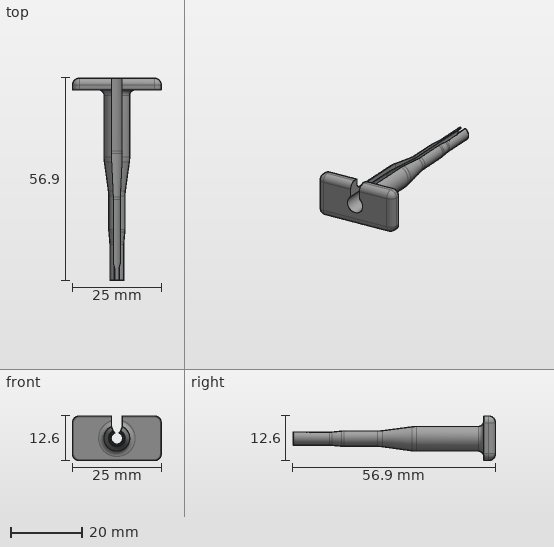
import cadquery as cq
import math

OVERALL_LENGTH = 56.85

PLATE_WIDTH = 25.0
PLATE_HEIGHT = 12.6
PLATE_THICKNESS = 3.35
PLATE_ROUND = 2.0
FRONT_EDGE_ROUND = 0.3

STEM_RADIUS = 7.3 / 2
NECK_RADIUS = 4.6 / 2
TIP_RADIUS = 4.0 / 2
STEM_END = 22.85
NECK_START = 32.45
NECK_END = 42.85
TIP_START = 46.35
LONG_CONE_BLEND = 10.0
SHORT_CONE_BLEND = 7.95
STEM_FILLET = 1.5
TIP_ROUND = 0.15

REAR_BORE_RADIUS = 2.5
FRONT_BORE_RADIUS = 1.6
BORE_CONE_START = 20.8
BORE_CONE_END = 33.75
BORE_BLEND = 10.0

SLOT_WIDTH = 2.9
NECK_SLOT_WIDTH = 2.0
MOUTH_SLOT_WIDTH = 1.15
MOUTH_FLARE_WIDTH = 1.75
SLOT_TAPER_START = 23.55
SLOT_TAPER_END = 33.15
MOUTH_TAPER_START = 52.0
MOUTH_TAPER_END = 53.45


def plate():
    body = cq.Workplane("XZ").rect(PLATE_WIDTH, PLATE_HEIGHT).extrude(PLATE_THICKNESS)
    body = body.edges("|Y").fillet(PLATE_ROUND)
    body = body.faces("<Y").edges().fillet(FRONT_EDGE_ROUND)
    return body.faces(">Y").edges().fillet(PLATE_ROUND)


def step_toward(start, target, distance):
    """Point at a given distance from start on the line to target."""
    share = distance / math.dist(start, target)
    return tuple(s + share * (t - s) for s, t in zip(start, target))


def blended_revolve(corners, blends):
    """Revolve a stepped (radius, distance) outline about Y, rounding each inner corner."""
    profile = cq.Workplane("XY").moveTo(0, -corners[0][1])
    profile = profile.lineTo(corners[0][0], -corners[0][1])
    for before, corner, after, blend in zip(corners, corners[1:], corners[2:], blends):
        turn = abs(
            math.atan2(after[0] - corner[0], after[1] - corner[1])
            - math.atan2(corner[0] - before[0], corner[1] - before[1])
        )
        tangent = blend * math.tan(turn / 2)
        start = step_toward(corner, before, tangent)
        end = step_toward(corner, after, tangent)
        middle = tuple((s + e) / 2 for s, e in zip(start, end))
        crest = step_toward(corner, middle, blend / math.cos(turn / 2) - blend)
        profile = profile.lineTo(start[0], -start[1])
        profile = profile.threePointArc((crest[0], -crest[1]), (end[0], -end[1]))
    profile = profile.lineTo(corners[-1][0], -corners[-1][1]).lineTo(0, -corners[-1][1])
    return profile.close().revolve(360, (0, 0, 0), (0, 1, 0))


def stem():
    corners = [
        (STEM_RADIUS, PLATE_THICKNESS / 2),
        (STEM_RADIUS, STEM_END),
        (NECK_RADIUS, NECK_START),
        (NECK_RADIUS, NECK_END),
        (TIP_RADIUS, TIP_START),
        (TIP_RADIUS, OVERALL_LENGTH),
    ]
    blends = [LONG_CONE_BLEND, LONG_CONE_BLEND, SHORT_CONE_BLEND, SHORT_CONE_BLEND]
    return blended_revolve(corners, blends).faces("<Y").edges().fillet(TIP_ROUND)


def bore():
    corners = [
        (REAR_BORE_RADIUS, 0),
        (REAR_BORE_RADIUS, BORE_CONE_START),
        (FRONT_BORE_RADIUS, BORE_CONE_END),
        (FRONT_BORE_RADIUS, OVERALL_LENGTH),
    ]
    return blended_revolve(corners, [BORE_BLEND, BORE_BLEND])


def slot():
    half_outline = [
        (SLOT_WIDTH / 2, 0),
        (SLOT_WIDTH / 2, -SLOT_TAPER_START),
        (NECK_SLOT_WIDTH / 2, -SLOT_TAPER_END),
        (NECK_SLOT_WIDTH / 2, -MOUTH_TAPER_START),
        (MOUTH_SLOT_WIDTH / 2, -MOUTH_TAPER_END),
        (MOUTH_SLOT_WIDTH / 2, -OVERALL_LENGTH),
    ]
    mirrored = [(-x, y) for x, y in reversed(half_outline)]
    return cq.Workplane("XY").polyline(half_outline + mirrored).close().extrude(PLATE_HEIGHT)


def mouth_flare():
    wide = MOUTH_FLARE_WIDTH / 2
    narrow = MOUTH_SLOT_WIDTH / 2
    bottom = math.sqrt(FRONT_BORE_RADIUS**2 - narrow**2)
    section = [
        (-wide, TIP_RADIUS),
        (-narrow, bottom),
        (narrow, bottom),
        (wide, TIP_RADIUS),
    ]
    flare = cq.Workplane("XZ", origin=(0, -MOUTH_TAPER_START, 0)).polyline(section).close()
    return flare.extrude(OVERALL_LENGTH - MOUTH_TAPER_START)


def joined_body():
    body = plate().union(stem())
    root = cq.selectors.NearestToPointSelector((0, -PLATE_THICKNESS, 0))
    return body.edges(root).fillet(STEM_FILLET)


result = joined_body().cut(bore()).cut(slot()).cut(mouth_flare())